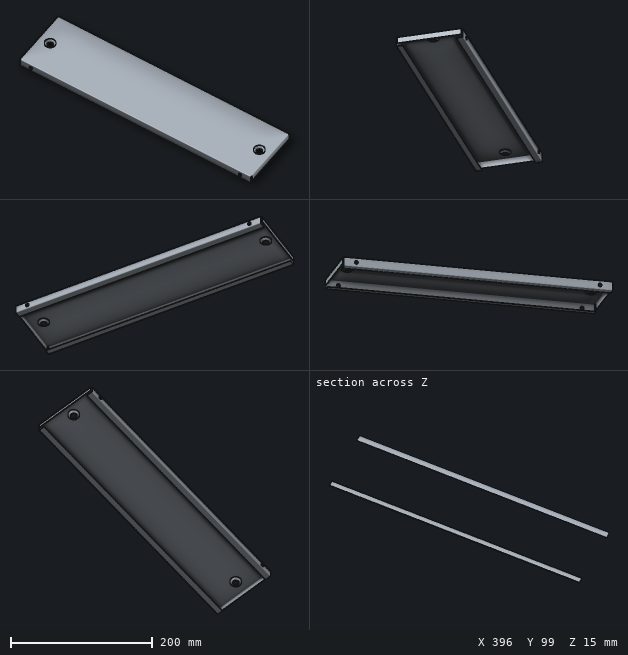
import cadquery as cq

length = 396
width = 99
height = 15.0

sheet = 1.0
outer_bend = 1.5
inner_bend = outer_bend - sheet

side_inset = 1.5
lip_width = 10.0
end_flange_height = 10.3
end_inset = 2.5

hole_spacing = 356.5
side_hole_diameter = 5.0
side_hole_height = height / 2

seat_rim_diameter = 16.5
seat_shoulder_diameter = 12.5
seat_hole_diameter = 7.5
seat_depth = 3.5

seat_positions = [(-hole_spacing / 2, 0), (hole_spacing / 2, 0)]


def box_between(x_size, y_size, z_bottom, z_top):
    """Box centred on X and Y between two heights."""
    return cq.Workplane("XY").box(
        x_size, y_size, z_top - z_bottom, centered=(True, True, False)
    ).translate((0, 0, z_bottom))


def side_channel():
    """Top sheet with both side flanges and their inward lips."""
    channel_length = length - 2 * side_inset
    outer = box_between(channel_length, width, 0, height).edges("|X").fillet(outer_bend)
    inner = box_between(channel_length, width - 2 * sheet, sheet, height - sheet)
    inner = inner.edges("|X").fillet(inner_bend)
    lip_opening = box_between(channel_length, width - 2 * lip_width, 0, sheet)
    return outer.cut(inner).cut(lip_opening)


def end_channel():
    """Top sheet with the plain flange folded down at each end."""
    flange_bottom = height - end_flange_height
    channel_width = width - 2 * end_inset
    outer = box_between(length, channel_width, flange_bottom, height)
    outer = outer.edges("|Y and >Z").fillet(outer_bend)
    inner = box_between(length - 2 * sheet, channel_width, flange_bottom, height - sheet)
    inner = inner.edges("|Y and >Z").fillet(inner_bend)
    return outer.cut(inner)


def seat_profile(points):
    """Solid of revolution about Z from (radius, height) points, at both seats."""
    body = cq.Workplane("XZ").polyline(points).close().revolve(360, (0, 0, 0), (0, 1, 0))
    seats = cq.Workplane("XY")
    for x, y in seat_positions:
        seats = seats.add(body.translate((x, y, 0)))
    return seats.combine()


def add_seats(body):
    """Press the dished seats into the top sheet and pierce them."""
    rim = seat_rim_diameter / 2
    shoulder_radius = seat_shoulder_diameter / 2
    hole = seat_hole_diameter / 2
    seat_bottom = height - seat_depth
    shoulder = height - sheet
    metal = seat_profile([
        (0, height), (rim, height), (rim, shoulder),
        (hole + sheet, seat_bottom), (0, seat_bottom),
    ])
    dish = seat_profile([
        (0, height), (rim, height), (shoulder_radius, shoulder),
        (hole, seat_bottom), (hole, 0), (0, 0),
    ])
    return body.union(metal).cut(dish)


def side_holes():
    """Cylinders that pierce both side flanges."""
    return (
        cq.Workplane("XZ", origin=(0, 0, side_hole_height))
        .pushPoints(seat_positions)
        .circle(side_hole_diameter / 2)
        .extrude(width, both=True)
    )


cover = side_channel().union(end_channel())
result = add_seats(cover).cut(side_holes())